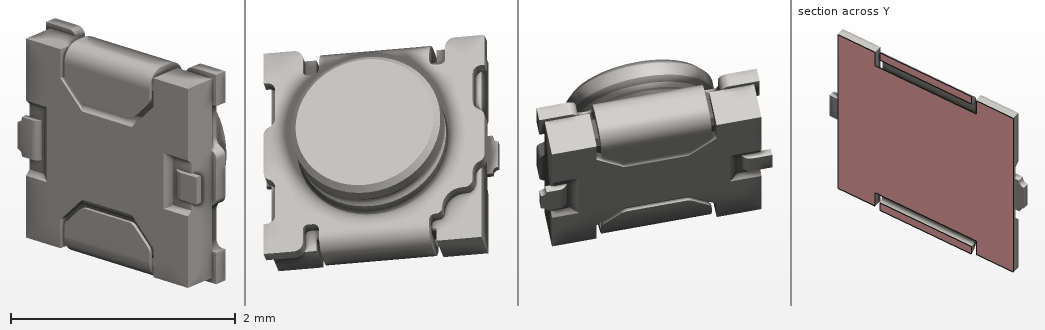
import cadquery as cq
import math


BODY_SIDE = 1.9
BODY_FRONT = 0
BODY_BACK = 0.33
EDGE_BEVEL = 0.015

SHELL_SIDE = 2.0
SHELL_HALF = SHELL_SIDE / 2
SHEET = 0.124
PLATE_BACK = BODY_BACK + SHEET

CORE_HALF_X = 0.895
CORE_HALF_Z = 0.743
TAB_INNER_X = 0.645
TAB_INNER_Z = 0.7
TAB_OUTER_RADIUS = 0.085
TAB_TOP_FILLET = 0.048
TAB_SIDE_FILLET = 0.075
LOBE_TIP_HALF_Z = 0.24
LOBE_ROOT_HALF_Z = 0.288
LOBE_RADIUS = 0.075
LOBE_FILLET = 0.097
NECK_FILLET = 0.052
CUT_CORNER_X = 0.617
CUT_CORNER_Z = 0.502
CUT_CORNER_FILLET = 0.185
CUT_EDGE_RADIUS = 0.075
CUT_SHOULDER_RADIUS = 0.055

CLAMP_WIDTH = 1.0
CLAMP_HALF_X = CLAMP_WIDTH / 2
CLAMP_BEND = 0.17
CLAMP_PAD_SHEET = 0.032
CLAMP_END_Z = 0.5
CLAMP_TIP_CUT = 0.202
CLAMP_TIP_RADIUS = 0.092

NOTCH_HALF_X = 0.544
NOTCH_INNER_HALF_X = 0.29
NOTCH_INNER_Z = 0.42
NOTCH_DIAGONAL = NOTCH_HALF_X - NOTCH_INNER_HALF_X
NOTCH_WALL_Z = 0.835
NOTCH_BEVEL = 0.05
NOTCH_FLOOR = BODY_FRONT + CLAMP_END_Z - NOTCH_INNER_Z

OVERALL_X = 2.1
CONTACT_SHEET = 0.06
SIGNAL_HALF_Z = 0.19
SIGNAL_TIP_HALF_Z = 0.128
SIGNAL_TIP_FILLET = 0.05
SIGNAL_BEND_X = 0.882
SIGNAL_BEND_RADIUS = 0.086
GROUND_HALF_Z = 0.128
GROUND_BEND_X = 0.867
GROUND_BEND_RADIUS = 0.107
CONTACT_ROOT_Y = 0.21

WINDOW_DEPTH = 0.048
WINDOW_TAPER_X = 0.07
SIGNAL_WINDOW_X = 0.705
SIGNAL_WINDOW_HALF_Z = 0.36
SIGNAL_WINDOW_TAPER_Z = 0.046
GROUND_WINDOW_X = 0.665
GROUND_WINDOW_HALF_Z = 0.267
GROUND_WINDOW_TAPER_Z = 0.04

BARREL_TOP = 0.9
BARREL_RADIUS = 0.676
GROOVE_RADIUS = 0.63
FLARE_HEIGHT = 0.042
FLARE_WIDTH = 0.019
LOWER_RING_TOP = 0.578
GROOVE_BOTTOM = 0.624
GROOVE_TOP = 0.676
UPPER_RING_BOTTOM = 0.722
UPPER_RING_TOP = 0.846
RIM_RADIUS = 0.625


TOUCHING = 2.1e-08


def rounded_outline(plane, corners):
    """Closed wire through (u, v, radius) corners; radius 0 keeps a corner sharp."""
    wire = None
    for i, (u, v, radius) in enumerate(corners):
        before = corners[i - 1]
        after = corners[(i + 1) % len(corners)]
        corner = cq.Vector(u, v)
        to_before = (cq.Vector(before[0], before[1]) - corner).normalized()
        to_after = (cq.Vector(after[0], after[1]) - corner).normalized()
        half_angle = to_before.getAngle(to_after) / 2
        setback = radius / math.tan(half_angle)
        start = corner + to_before * setback
        end = corner + to_after * setback
        if wire is None:
            wire = cq.Workplane(plane).moveTo(start.x, start.y)
        elif (start - last).Length > TOUCHING:
            wire = wire.lineTo(start.x, start.y)
        if radius > 0:
            bisector = (to_before + to_after).normalized()
            middle = corner + bisector * (radius / math.sin(half_angle) - radius)
            wire = wire.threePointArc((middle.x, middle.y), (end.x, end.y))
        last = end
    return wire.close()


def prism_y(corners, y_start, y_end):
    """Rounded (x, z) outline extruded from y_start to y_end."""
    prism = rounded_outline("XZ", corners).extrude(y_start - y_end)
    return prism.translate((0, y_start, 0))


def prism_x(corners, half_x):
    """Rounded (y, z) outline extruded symmetrically along X."""
    return rounded_outline("YZ", corners).extrude(half_x, both=True)


def sharp(*points):
    return [(u, v, 0) for u, v in points]


def with_mirror_below(solid):
    return solid.union(solid.mirror("XY"))


def clamp_notch():
    outside = SHELL_SIDE
    plan = prism_y(
        sharp(
            (-NOTCH_HALF_X, outside),
            (-NOTCH_HALF_X, NOTCH_INNER_Z + NOTCH_DIAGONAL),
            (-NOTCH_INNER_HALF_X, NOTCH_INNER_Z),
            (NOTCH_INNER_HALF_X, NOTCH_INNER_Z),
            (NOTCH_HALF_X, NOTCH_INNER_Z + NOTCH_DIAGONAL),
            (NOTCH_HALF_X, outside),
        ),
        BODY_FRONT,
        BODY_BACK,
    )
    profile = prism_x(
        sharp(
            (BODY_FRONT, NOTCH_INNER_Z),
            (NOTCH_FLOOR, CLAMP_END_Z),
            (NOTCH_FLOOR, NOTCH_WALL_Z - NOTCH_BEVEL),
            (NOTCH_FLOOR + NOTCH_BEVEL, NOTCH_WALL_Z),
            (BODY_BACK - EDGE_BEVEL, NOTCH_WALL_Z),
            (BODY_BACK, NOTCH_WALL_Z - EDGE_BEVEL),
            (BODY_BACK, outside),
            (BODY_FRONT, outside),
        ),
        NOTCH_HALF_X,
    )
    return plan.intersect(profile)


def contact_window(side, inner_x, half_z, taper_z):
    """Recess open at the body's side face, narrowing towards its floor."""
    body_edge = BODY_SIDE / 2
    reach = body_edge - inner_x

    def rectangle(y, width, half_height):
        plane = cq.Plane((0, y, 0), (1, 0, 0), (0, -1, 0))
        outline = cq.Workplane(plane).center(side * body_edge, 0).rect(2 * width, 2 * half_height)
        return outline.wires().val()

    mouth = rectangle(BODY_FRONT, reach, half_z)
    floor = rectangle(WINDOW_DEPTH, reach - WINDOW_TAPER_X, half_z - taper_z)
    return cq.Workplane(cq.Solid.makeLoft([mouth, floor], True))


def body():
    block = cq.Workplane().box(BODY_SIDE, BODY_BACK - BODY_FRONT, BODY_SIDE)
    block = block.translate((0, (BODY_FRONT + BODY_BACK) / 2, 0))
    block = block.cut(with_mirror_below(clamp_notch()))
    block = block.cut(contact_window(-1, SIGNAL_WINDOW_X, SIGNAL_WINDOW_HALF_Z, SIGNAL_WINDOW_TAPER_Z))
    return block.cut(contact_window(1, GROUND_WINDOW_X, GROUND_WINDOW_HALF_Z, GROUND_WINDOW_TAPER_Z))


def plate():
    neck_end = SHELL_HALF - CLAMP_BEND
    tabbed_quarter = [
        (CLAMP_HALF_X, neck_end, 0),
        (CLAMP_HALF_X, CORE_HALF_Z, NECK_FILLET),
        (TAB_INNER_X, CORE_HALF_Z, TAB_TOP_FILLET),
        (TAB_INNER_X, SHELL_HALF, TAB_OUTER_RADIUS),
        (SHELL_HALF, SHELL_HALF, 0),
        (SHELL_HALF, TAB_INNER_Z, 0),
        (CORE_HALF_X, TAB_INNER_Z, TAB_SIDE_FILLET),
        (CORE_HALF_X, LOBE_ROOT_HALF_Z, LOBE_FILLET),
        (SHELL_HALF, LOBE_TIP_HALF_Z, LOBE_RADIUS),
    ]
    cut_quarter = [
        (-CLAMP_HALF_X, -neck_end, 0),
        (-CLAMP_HALF_X, -CORE_HALF_Z, NECK_FILLET),
        (-CUT_CORNER_X, -CORE_HALF_Z, CUT_SHOULDER_RADIUS),
        (-CUT_CORNER_X, -CUT_CORNER_Z, CUT_CORNER_FILLET),
        (-CORE_HALF_X, -CUT_CORNER_Z, CUT_EDGE_RADIUS),
        (-CORE_HALF_X, -LOBE_ROOT_HALF_Z, LOBE_FILLET),
        (-SHELL_HALF, -LOBE_TIP_HALF_Z, LOBE_RADIUS),
    ]
    lower_right = [(x, -z, r) for x, z, r in reversed(tabbed_quarter)]
    upper_left = [(-x, z, r) for x, z, r in reversed(tabbed_quarter)]
    outline = tabbed_quarter + lower_right + cut_quarter + upper_left
    return prism_y(outline, BODY_BACK, PLATE_BACK)


def clamp():
    inner_bend = CLAMP_BEND - SHEET
    inner_z = SHELL_HALF - SHEET
    strap = prism_x(
        [
            (PLATE_BACK, CLAMP_END_Z, 0),
            (PLATE_BACK, SHELL_HALF, CLAMP_BEND),
            (0, SHELL_HALF, CLAMP_BEND),
            (0, CLAMP_END_Z, 0),
            (CLAMP_PAD_SHEET, CLAMP_END_Z, 0),
            (CLAMP_PAD_SHEET, inner_z, inner_bend),
            (BODY_BACK, inner_z, inner_bend),
            (BODY_BACK, CLAMP_END_Z, 0),
        ],
        CLAMP_HALF_X,
    )
    tip_half_x = CLAMP_HALF_X - CLAMP_TIP_CUT
    tip = prism_y(
        [
            (-CLAMP_HALF_X, SHELL_HALF, 0),
            (-CLAMP_HALF_X, CLAMP_END_Z + CLAMP_TIP_CUT, CLAMP_TIP_RADIUS),
            (-tip_half_x, CLAMP_END_Z, CLAMP_TIP_RADIUS),
            (tip_half_x, CLAMP_END_Z, CLAMP_TIP_RADIUS),
            (CLAMP_HALF_X, CLAMP_END_Z + CLAMP_TIP_CUT, CLAMP_TIP_RADIUS),
            (CLAMP_HALF_X, SHELL_HALF, 0),
        ],
        0,
        PLATE_BACK,
    )
    return strap.intersect(tip)


def contact(half_z, bend_x, bend_radius):
    """Flat foot ending at +X, bent up into the body at its inner end."""
    inner_x = bend_x - bend_radius
    end_x = OVERALL_X / 2
    outline = rounded_outline(
        "XY",
        [
            (inner_x, 0, bend_radius),
            (end_x, 0, 0),
            (end_x, CONTACT_SHEET, 0),
            (inner_x + CONTACT_SHEET, CONTACT_SHEET, bend_radius - CONTACT_SHEET),
            (inner_x + CONTACT_SHEET, CONTACT_ROOT_Y, 0),
            (inner_x, CONTACT_ROOT_Y, 0),
        ],
    )
    return outline.extrude(half_z, both=True)


def signal_contact():
    foot = contact(SIGNAL_HALF_Z, SIGNAL_BEND_X, SIGNAL_BEND_RADIUS).mirror("YZ")
    corner_cut = prism_y(
        [
            (-OVERALL_X / 2, SIGNAL_TIP_HALF_Z, 0),
            (-OVERALL_X / 2 + SIGNAL_TIP_FILLET, SIGNAL_TIP_HALF_Z, SIGNAL_TIP_FILLET),
            (-OVERALL_X / 2 + SIGNAL_TIP_FILLET, SIGNAL_HALF_Z, 0),
            (-OVERALL_X / 2, SIGNAL_HALF_Z, 0),
        ],
        0,
        CONTACT_SHEET,
    )
    return foot.cut(with_mirror_below(corner_cut))


def barrel():
    base_radius = BARREL_RADIUS + FLARE_WIDTH
    profile = (
        cq.Workplane("XY")
        .moveTo(0, BARREL_TOP)
        .lineTo(RIM_RADIUS, BARREL_TOP)
        .lineTo(BARREL_RADIUS, UPPER_RING_TOP)
        .lineTo(BARREL_RADIUS, UPPER_RING_BOTTOM)
        .lineTo(GROOVE_RADIUS, GROOVE_TOP)
        .lineTo(GROOVE_RADIUS, GROOVE_BOTTOM)
        .lineTo(BARREL_RADIUS, LOWER_RING_TOP)
        .lineTo(BARREL_RADIUS, PLATE_BACK + FLARE_HEIGHT)
        .tangentArcPoint((base_radius, PLATE_BACK), relative=False)
        .lineTo(base_radius, BODY_BACK)
        .lineTo(0, BODY_BACK)
        .close()
    )
    return profile.revolve(360, (0, 0, 0), (0, 1, 0))


result = (
    body()
    .union(plate())
    .union(barrel())
    .union(with_mirror_below(clamp()))
    .union(signal_contact())
    .union(contact(GROUND_HALF_Z, GROUND_BEND_X, GROUND_BEND_RADIUS))
)